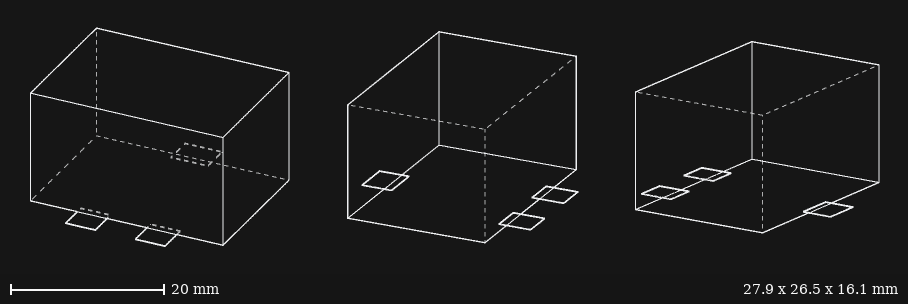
import cadquery as cq

housing_length = 27.9
housing_width = 19.8
housing_height = 16.0

terminal_thickness = 0.1

pair_terminal_width = 4.3
pair_terminal_length = 4.55
pair_terminal_overhang = 3.4
pair_pitch = 10.1

single_terminal_width = 5.35
single_terminal_length = 4.25
single_terminal_overhang = 3.25


def make_housing():
    """Plain block whose underside rests on the terminals."""
    return cq.Workplane("XY").workplane(offset=terminal_thickness).box(
        housing_length, housing_width, housing_height, centered=(True, True, False)
    )


def make_terminal(width, length, center_x, center_y):
    """Flat rectangular terminal with its underside at Z = 0."""
    terminal = cq.Workplane("XY").box(
        width, length, terminal_thickness, centered=(True, True, False)
    )
    return terminal.translate((center_x, center_y, 0))


housing = make_housing()

pair_center_y = -housing_width / 2 - pair_terminal_overhang + pair_terminal_length / 2
pair_terminals = []
for side in (-1, 1):
    pair_center_x = side * pair_pitch / 2
    pair_terminals.append(
        make_terminal(pair_terminal_width, pair_terminal_length, pair_center_x, pair_center_y)
    )

single_center_y = housing_width / 2 + single_terminal_overhang - single_terminal_length / 2
single_terminal = make_terminal(single_terminal_width, single_terminal_length, 0, single_center_y)

result = cq.Compound.makeCompound([
    housing.val(),
    *[terminal.val() for terminal in pair_terminals],
    single_terminal.val(),
])